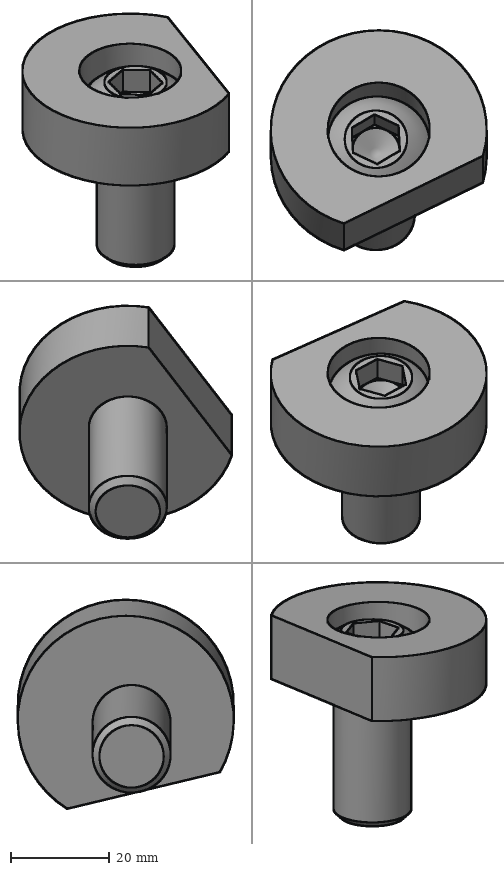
import cadquery as cq
import math

INCH = 25.4

disc_radius = 0.865 * INCH
disc_height = 0.545 * INCH
flat_offset = 0.593 * INCH

bore_radius = 0.4085 * INCH
head_clearance = 0.08
turned_head_radius = bore_radius - head_clearance

overall_height = 1.675 * INCH
shank_radius = 5 / 16 * INCH
shank_length = 1.25 * INCH
tip_chamfer = 0.055 * INCH
head_height = 0.331 * INCH
head_side_height = 0.054 * INCH
full_head_radius = 0.5 * INCH
head_top_radius = 0.25 * INCH
socket_across_flats = 0.375 * INCH
socket_depth = 0.207 * INCH
corner_to_flat_angle = 30
drill_point_angle = 120
eccentricity = 0.05 * INCH
screw_angle = 35

tip_z = disc_height - overall_height
seat_z = tip_z + shank_length
head_top_z = seat_z + head_height
screw_x = eccentricity * math.cos(math.radians(screw_angle))
screw_y = eccentricity * math.sin(math.radians(screw_angle))


def cylinder(radius, bottom_z, top_z, x=0, y=0):
    """Upright cylinder between two heights."""
    return cq.Workplane("XY", origin=(x, y, bottom_z)).circle(radius).extrude(top_z - bottom_z)


def make_disc():
    """Disc with one flat, a bore for the head and an off-centre hole for the shank."""
    disc = cylinder(disc_radius, 0, disc_height)
    beyond_flat = (
        cq.Workplane("XY")
        .center(0, flat_offset + disc_radius)
        .rect(2 * disc_radius, 2 * disc_radius)
        .extrude(disc_height)
    )
    head_bore = cylinder(bore_radius, seat_z, disc_height)
    shank_hole = cylinder(shank_radius, 0, seat_z, screw_x, screw_y)
    return disc.cut(beyond_flat).cut(head_bore).cut(shank_hole)


def make_head():
    """Spherical button head, turned down to a cylinder about the disc axis."""
    rim_z = head_side_height
    centre_z = (
        (head_top_radius**2 + head_height**2 - full_head_radius**2 - rim_z**2)
        / (2 * (head_height - rim_z))
    )
    dome_radius = math.hypot(full_head_radius, rim_z - centre_z)
    middle_radius = (full_head_radius + head_top_radius) / 2
    middle_z = centre_z + math.sqrt(dome_radius**2 - middle_radius**2)
    button = (
        cq.Workplane("XZ")
        .lineTo(full_head_radius, 0)
        .lineTo(full_head_radius, rim_z)
        .threePointArc((middle_radius, middle_z), (head_top_radius, head_height))
        .lineTo(0, head_height)
        .close()
        .revolve(360, (0, 0), (0, 1))
        .translate((screw_x, screw_y, seat_z))
    )
    return button.intersect(cylinder(turned_head_radius, seat_z, head_top_z))


def make_socket():
    """Hexagonal socket volume ending in a drill-point cone."""
    across_corners = socket_across_flats / math.cos(math.radians(corner_to_flat_angle))
    drill_radius = socket_across_flats / 2
    cone_depth = drill_radius / math.tan(math.radians(drill_point_angle / 2))
    hexagon = cq.Workplane("XY").polygon(6, across_corners).extrude(-socket_depth)
    cone = (
        cq.Workplane("XZ", origin=(0, 0, -socket_depth))
        .lineTo(drill_radius, 0)
        .lineTo(0, -cone_depth)
        .close()
        .revolve(360, (0, 0), (0, 1))
    )
    return (
        hexagon.union(cone)
        .rotate((0, 0, 0), (0, 0, 1), screw_angle + corner_to_flat_angle)
        .translate((screw_x, screw_y, head_top_z))
    )


def make_screw():
    """Screw with an off-centre shank, a turned-down button head and a hexagonal socket."""
    shank = cylinder(shank_radius, tip_z, seat_z, screw_x, screw_y)
    shank = shank.faces("<Z").chamfer(tip_chamfer)
    return shank.union(make_head()).cut(make_socket())


disc = make_disc()
screw = make_screw()
result = cq.Compound.makeCompound([disc.val(), screw.val()])